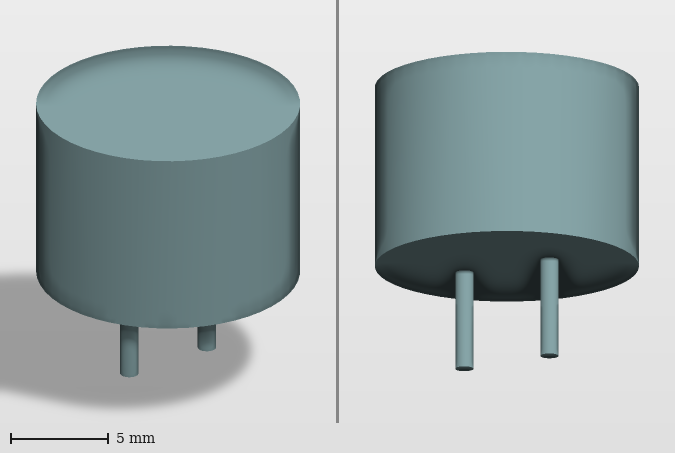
import cadquery as cq

total_height = 14.6
body_diameter = 13.5
body_height = 9.5

pin_diameter = 0.93
pin_spacing = 5.0
pin_length = total_height - body_height


def make_body():
    """Round housing standing on the XY plane."""
    return cq.Workplane("XY").circle(body_diameter / 2).extrude(body_height)


def make_pin(y):
    """Straight pin hanging from the underside of the body."""
    return cq.Workplane("XY").center(0, y).circle(pin_diameter / 2).extrude(-pin_length)


body = make_body()
pins = [make_pin(side * pin_spacing / 2) for side in (-1, 1)]

result = cq.Compound.makeCompound([body.val(), *[pin.val() for pin in pins]])